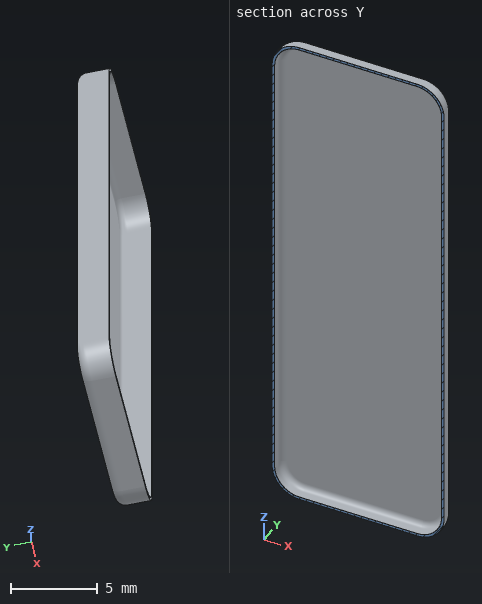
import cadquery as cq

width = 11.3
depth = 2.0
height = 32.0

wall = 0.2
corner_radius = 1.8
edge_radius = 0.6


def rounded_block(size_x, size_z, front_y, back_y, corner, edge):
    """Block with rounded corners whose back (+Y) edge is rounded as well."""
    block = (
        cq.Workplane("XZ", origin=(0, back_y, 0))
        .rect(size_x, size_z)
        .extrude(back_y - front_y)
    )
    return block.edges("|Y").fillet(corner).faces(">Y").edges().fillet(edge)


front = -depth / 2
back = depth / 2

shell = rounded_block(width, height, front, back, corner_radius, edge_radius)

cavity = rounded_block(
    width - 2 * wall,
    height - 2 * wall,
    front,
    back - wall,
    corner_radius - wall,
    edge_radius - wall,
)

result = shell.cut(cavity)